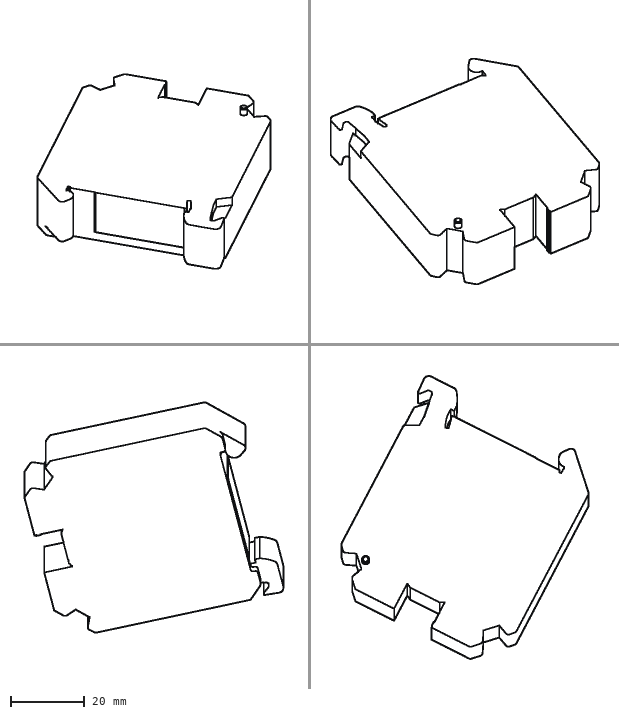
import math

import cadquery as cq

HALF_WIDTH = 26.65
TOP_Y = 54.65
OVERALL_LENGTH = 61.8

BASE_TOP = 2.7
POCKET_FLOOR = 13.4
HOUSING_TOP = 16.0
PIN_TOP = 18.2

CORNER_START_Y = 2.1

NOTCH_HALF = 5.7
NOTCH_SIDE_Y = 46.8
NOTCH_FLOOR_Y = 47.45
NOTCH_FLOOR_HALF = 4.5
LIP_DEPTH = 0.2
LIP_HEIGHT = 1.2

SHOULDER_TOP_X = 17.48
SHOULDER_TIP = (19.98, 52.15)
SHOULDER_NECK = (18.6, 48.9)
EAR_VALLEY = (21.75, 45.75)
EAR_TIP = (25.0, 47.1)
EAR_SIDE_Y = 45.3
SHOULDER_TOP_ROUND = 0.5
SHOULDER_ROUND = 1.0
EAR_ROUND = 0.8
SIDE_ROUND = 1.0

LEG_BOTTOM_Y = -1.7
LEG_INNER_X = 18.45
LEG_INNER_ROUND = 0.65
LEG_OUTER_ROUND = 1.36

HOOK_WALL_X = -17.4
HOOK_CENTER = (-17.03, -3.67)
HOOK_RADIUS = 2.32
HOOK_ARC_END_ANGLE = -34.0
HOOK_TIP_ROUND = 1.2
HOOK_TIP_Y = -7.45
RELIEF_WIDTH = 0.65
RELIEF_DEPTH = 0.5

FOOT_BOTTOM_Y = TOP_Y - OVERALL_LENGTH
FOOT_NECK_X = 17.32
FOOT_STEP = (16.3, -1.5)
FOOT_SIDE_Y = -2.95
FOOT_CURVE_MID = (16.87, -4.5)
FOOT_CURVE_END_X = 18.55
FOOT_RIGHT_X = 27.72
FOOT_FINGER_TOP = (27.4, -1.5)
FOOT_FINGER_INNER = (26.75, -1.5)
FOOT_VALLEY = (25.1, -3.45)
FOOT_VALLEY_LEFT = (23.85, -3.45)
FOOT_BACK = (23.5, -0.9)
FOOT_HEEL_ROUND = 1.5
FOOT_TOE_ROUND = 1.6
FOOT_FINGER_ROUND = 0.25
FOOT_VALLEY_ROUND = 0.7

SLOT_MOUTH_X = 16.3
SLOT_END_LEFT = (15.47, 3.15)
SLOT_END_TOP = (15.95, 3.6)
SLOT_END_RIGHT = (16.58, 3.15)
SLOT_CURVE_MID = (17.0, 1.9)
SLOT_CURVE_END_Y = 0.5

POCKET_INNER = (22.84, 6.3)
POCKET_BEND_Y = 3.6
POCKET_SIDE_Y = 8.33

PAD_START_X = -9.77
PAD_END_X = 16.15
PAD_TAPER = 0.45
PAD_THICKNESS = 0.15

PIN_CENTER = (18.62, 46.4)
PIN_RADIUS = 1.0
PIN_CHAMFER = 0.3


def prism(outline, bottom, top):
    """Extrude a closed outline between two Z levels."""
    return outline.extrude(top - bottom).translate((0, 0, bottom))


def polygon_prism(points, bottom, top):
    """Extrude a closed polygon between two Z levels."""
    return prism(cq.Workplane("XY").polyline(points).close(), bottom, top)


def round_edges(solid, points, radius):
    """Fillet the vertical edges that stand at the given XY points."""
    box = solid.val().BoundingBox()
    reach = 0.02
    for x, y in points:
        picker = cq.selectors.BoxSelector(
            (x - reach, y - reach, box.zmin - reach),
            (x + reach, y + reach, box.zmax + reach),
        )
        solid = solid.edges("|Z").edges(picker).fillet(radius)
    return solid


def both_sides(point):
    """The given XY point and its mirror image across X = 0."""
    x, y = point
    return [(x, y), (-x, y)]


def upper_half_outline():
    """Points of the +X upper outline, from the lower corner to the notch floor."""
    return [
        (HALF_WIDTH, CORNER_START_Y),
        (HALF_WIDTH, EAR_SIDE_Y),
        EAR_TIP,
        EAR_VALLEY,
        SHOULDER_NECK,
        SHOULDER_TIP,
        (SHOULDER_TOP_X, TOP_Y),
        (NOTCH_HALF, TOP_Y),
        (NOTCH_HALF, NOTCH_SIDE_Y),
        (NOTCH_FLOOR_HALF, NOTCH_FLOOR_Y),
    ]


def make_housing():
    """Main block above the rail seat, with ears, shoulders and notch."""
    right = [(HALF_WIDTH - CORNER_START_Y, 0)] + upper_half_outline()
    left = [(-x, y) for x, y in reversed(right)]
    housing = polygon_prism(right + left, 0, HOUSING_TOP)
    housing = round_edges(housing, both_sides((SHOULDER_TOP_X, TOP_Y)), SHOULDER_TOP_ROUND)
    housing = round_edges(housing, both_sides(SHOULDER_TIP), SHOULDER_ROUND)
    housing = round_edges(housing, both_sides(EAR_TIP), EAR_ROUND)
    housing = round_edges(housing, both_sides((HALF_WIDTH, EAR_SIDE_Y)), SIDE_ROUND)
    housing = round_edges(housing, both_sides((HALF_WIDTH, CORNER_START_Y)), SIDE_ROUND)
    lip_bottom = TOP_Y - SHOULDER_TOP_ROUND - LIP_HEIGHT
    lip = cq.Workplane("XY").box(
        2 * LIP_DEPTH, LIP_HEIGHT, HOUSING_TOP, centered=(True, False, False)
    )
    return housing.union(lip.translate((-NOTCH_HALF, lip_bottom, 0)))


def make_base_leg():
    """Short +X leg of the base plate below the rail seat."""
    overlap_y = 1.0
    outer_x = HALF_WIDTH - CORNER_START_Y
    toe = (outer_x + LEG_BOTTOM_Y, LEG_BOTTOM_Y)
    heel = (LEG_INNER_X, LEG_BOTTOM_Y)
    root = (LEG_INNER_X, 0)
    leg = polygon_prism(
        [
            (outer_x + overlap_y, overlap_y),
            toe,
            heel,
            root,
            (LEG_INNER_X - 2 * LEG_INNER_ROUND, 0),
            (LEG_INNER_X - 2 * LEG_INNER_ROUND, overlap_y),
        ],
        0,
        BASE_TOP,
    )
    leg = round_edges(leg, [toe], LEG_OUTER_ROUND)
    return round_edges(leg, [heel, root], LEG_INNER_ROUND)


def make_hook():
    """Fixed rail hook, a slanted arm with a round nose."""
    overlap_y = 1.0
    slant_x = CORNER_START_Y - HALF_WIDTH
    tip = (slant_x - HOOK_TIP_Y, HOOK_TIP_Y)
    center_x, center_y = HOOK_CENTER

    def on_nose(degrees):
        angle = math.radians(degrees)
        return (
            center_x + HOOK_RADIUS * math.cos(angle),
            center_y + HOOK_RADIUS * math.sin(angle),
        )

    outline = (
        cq.Workplane("XY")
        .moveTo(slant_x - overlap_y, overlap_y)
        .lineTo(*tip)
        .lineTo(*on_nose(HOOK_ARC_END_ANGLE))
        .threePointArc(on_nose(0), on_nose(90))
        .lineTo(HOOK_WALL_X, center_y + HOOK_RADIUS)
        .lineTo(HOOK_WALL_X, overlap_y)
        .close()
    )
    return round_edges(prism(outline, BASE_TOP, HOUSING_TOP), [tip], HOOK_TIP_ROUND)


def make_relief():
    """Groove in the inner corner between the hook and the rail seat."""
    below_seat = -0.5
    groove = cq.Workplane("XY").box(
        RELIEF_WIDTH,
        RELIEF_DEPTH - below_seat,
        HOUSING_TOP - BASE_TOP,
        centered=False,
    )
    groove = groove.translate((HOOK_WALL_X, below_seat, BASE_TOP))
    top_right = (HOOK_WALL_X + RELIEF_WIDTH, RELIEF_DEPTH)
    return round_edges(groove, [top_right], RELIEF_DEPTH / 2)


def make_foot():
    """Snap foot that hangs below the rail seat, with an upturned finger."""
    overlap_y = 2.0
    toe = (FOOT_CURVE_END_X, FOOT_BOTTOM_Y)
    heel = (FOOT_RIGHT_X, FOOT_BOTTOM_Y)
    outline = (
        cq.Workplane("XY")
        .moveTo(FOOT_NECK_X, overlap_y)
        .lineTo(FOOT_NECK_X, FOOT_STEP[1])
        .lineTo(*FOOT_STEP)
        .lineTo(FOOT_STEP[0], FOOT_SIDE_Y)
        .threePointArc(FOOT_CURVE_MID, toe)
        .lineTo(*heel)
        .lineTo(*FOOT_FINGER_TOP)
        .lineTo(*FOOT_FINGER_INNER)
        .lineTo(*FOOT_VALLEY)
        .lineTo(*FOOT_VALLEY_LEFT)
        .lineTo(*FOOT_BACK)
        .lineTo(POCKET_INNER[0], overlap_y)
        .close()
    )
    foot = prism(outline, BASE_TOP, HOUSING_TOP)
    foot = round_edges(foot, [toe], FOOT_TOE_ROUND)
    foot = round_edges(foot, [heel], FOOT_HEEL_ROUND)
    foot = round_edges(foot, [FOOT_FINGER_TOP, FOOT_FINGER_INNER], FOOT_FINGER_ROUND)
    return round_edges(foot, [FOOT_VALLEY, FOOT_VALLEY_LEFT], FOOT_VALLEY_ROUND)


def make_slot():
    """Curved slot beside the snap foot, open at the rail seat."""
    outline = (
        cq.Workplane("XY")
        .moveTo(SLOT_MOUTH_X, -PAD_THICKNESS)
        .lineTo(SLOT_MOUTH_X, 0)
        .lineTo(*SLOT_END_LEFT)
        .threePointArc(SLOT_END_TOP, SLOT_END_RIGHT)
        .threePointArc(SLOT_CURVE_MID, (FOOT_NECK_X, SLOT_CURVE_END_Y))
        .lineTo(FOOT_NECK_X, -PAD_THICKNESS)
        .close()
    )
    return prism(outline, BASE_TOP, HOUSING_TOP)


def make_pocket():
    """Corner pocket that separates the snap foot from the +X side."""
    clearance = 1.0
    points = [
        POCKET_INNER,
        (POCKET_INNER[0], POCKET_BEND_Y),
        FOOT_BACK,
        (HALF_WIDTH, FOOT_BACK[1]),
        (HALF_WIDTH, POCKET_SIDE_Y),
    ]
    return polygon_prism(points, POCKET_FLOOR, HOUSING_TOP + clearance)


def make_pad():
    """Raised pad with sloped ends on the rail seat wall."""
    points = [
        (PAD_START_X, 0),
        (PAD_START_X + PAD_TAPER, -PAD_THICKNESS),
        (PAD_END_X - PAD_TAPER, -PAD_THICKNESS),
        (PAD_END_X, 0),
    ]
    return polygon_prism(points, BASE_TOP, HOUSING_TOP)


def make_pocket_floor_tip():
    """Pointed end of the pocket floor, between the foot and the 45 degree corner."""
    back_x, back_y = FOOT_BACK
    slant_x = HALF_WIDTH - CORNER_START_Y
    points = [
        (back_x, 0),
        FOOT_BACK,
        (slant_x + back_y, back_y),
        (slant_x, 0),
    ]
    return polygon_prism(points, BASE_TOP, POCKET_FLOOR)


def make_pin():
    """Locating pin standing on the housing, with a chamfered tip."""
    pin = cq.Workplane("XY").center(*PIN_CENTER).circle(PIN_RADIUS)
    return prism(pin, BASE_TOP, PIN_TOP).faces(">Z").chamfer(PIN_CHAMFER)


base_leg = make_base_leg()
body = make_housing().union(base_leg).union(base_leg.mirror("YZ"))
body = body.union(make_pad()).union(make_hook()).union(make_foot())
body = body.cut(make_relief()).cut(make_slot()).cut(make_pocket())
result = body.union(make_pocket_floor_tip()).union(make_pin())